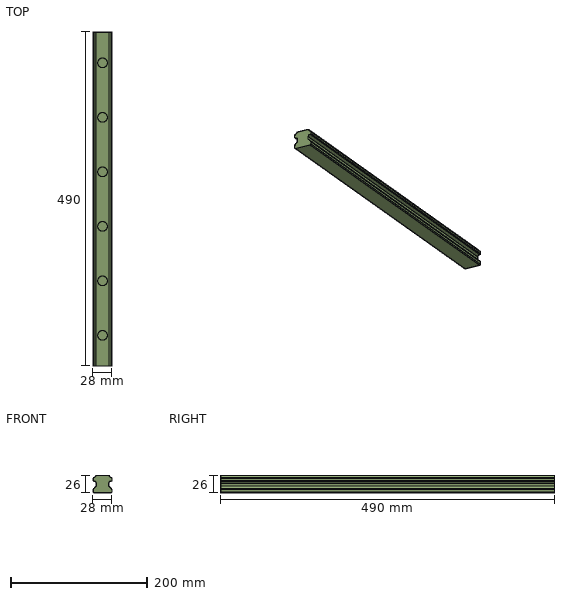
import cadquery as cq
import math

length = 490.0
width = 28.0
height = 26.0
half_width = width / 2
top_z = height / 2
bottom_z = -height / 2

top_half_width = 10.0
raceway_half_width = 12.5
upper_raceway_drop = 3.2
head_side_top_drop = 4.5
head_side_bottom_drop = 8.0
lower_raceway_drop = 9.0
raceway_sag = 0.75

neck_half_width = 9.5
neck_shoulder_drop = 10.5
neck_top_drop = 12.0
neck_bottom_drop = 15.5

foot_slope_half_width = 13.0
foot_slope_drop = 19.5
foot_side_drop = 21.0
foot_chamfer = 1.5

hole_count = 6
hole_diameter = 14.0
recess_depth = 0.5
end_margin = 45.0
hole_pitch = (length - 2 * end_margin) / (hole_count - 1)


def raceway_middle(start, end):
    """Middle point of a raceway arc, sunk towards the inside of the head.

    Going clockwise round the section, the inside lies to the right of the chord.
    """
    dx = end[0] - start[0]
    dz = end[1] - start[1]
    chord = math.hypot(dx, dz)
    return (
        (start[0] + end[0]) / 2 + raceway_sag * dz / chord,
        (start[1] + end[1]) / 2 - raceway_sag * dx / chord,
    )


def make_half_rail():
    """Extrude the +X half of the cross-section along Y."""
    top_corner = (top_half_width, top_z)
    upper_raceway_end = (raceway_half_width, top_z - upper_raceway_drop)
    lower_raceway_start = (raceway_half_width, top_z - lower_raceway_drop)
    lower_raceway_end = (top_half_width, top_z - neck_shoulder_drop)
    section = (
        cq.Workplane("XZ")
        .moveTo(0, top_z)
        .lineTo(*top_corner)
        .threePointArc(raceway_middle(top_corner, upper_raceway_end), upper_raceway_end)
        .lineTo(half_width, top_z - head_side_top_drop)
        .lineTo(half_width, top_z - head_side_bottom_drop)
        .lineTo(*lower_raceway_start)
        .threePointArc(raceway_middle(lower_raceway_start, lower_raceway_end), lower_raceway_end)
        .lineTo(neck_half_width, top_z - neck_top_drop)
        .lineTo(neck_half_width, top_z - neck_bottom_drop)
        .lineTo(foot_slope_half_width, top_z - foot_slope_drop)
        .lineTo(half_width, top_z - foot_side_drop)
        .lineTo(half_width, bottom_z + foot_chamfer)
        .lineTo(half_width - foot_chamfer, bottom_z)
        .lineTo(0, bottom_z)
        .close()
    )
    return section.extrude(length / 2, both=True)


def make_recesses():
    """Evenly spaced discs that cut the recesses into the top face."""
    return (
        cq.Workplane("XY", origin=(0, 0, top_z))
        .rarray(5, hole_pitch, 1, hole_count)
        .circle(hole_diameter / 2)
        .extrude(-recess_depth)
    )


half_rail = make_half_rail()
rail = half_rail.union(half_rail.mirror("YZ")).clean()
result = rail.cut(make_recesses())